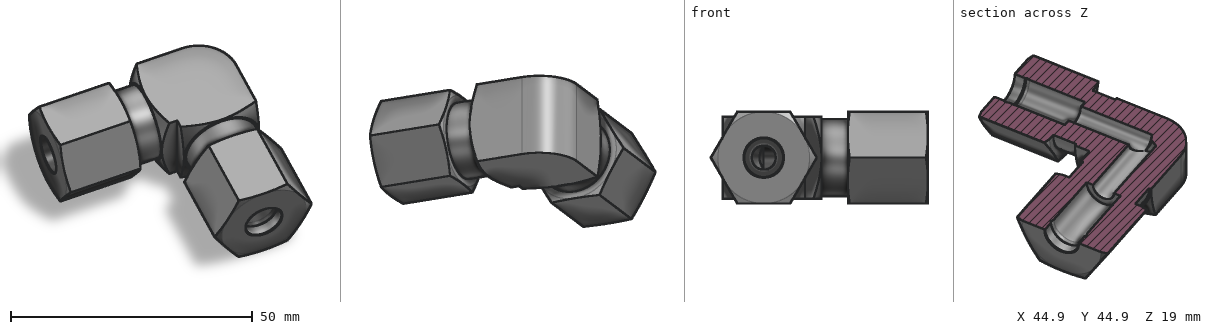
import cadquery as cq
import math

overall_size = 44.85
nut_flats = 19.0
nut_corners = nut_flats / math.cos(math.radians(30))
nut_length = 16.5
nut_chamfer_angle = 15

body_width = 17.0
arm_length = 12.0
arm_face_diameter = 16.8
arm_chamfer_angle = 25
neck_diameter = 16.0

flow_diameter = 5.0
drill_point_angle = 120
tube_diameter = 8.05
socket_floor = 17.0
groove_diameter = 8.5
groove_depth = 2.5
groove_length = 1.1
mouth_diameter = 8.35
mouth_chamfer = 0.15

nut_end = overall_size - nut_corners / 2
nut_start = nut_end - nut_length
body_radius = body_width / 2


def revolved(profile):
    """Turn (radius, height) points about Z."""
    outline = cq.Workplane("XZ").polyline(profile).close()
    return outline.revolve(360, (0, 0, 0), (0, 1, 0))


def body_arm():
    """Square arm along +Z whose end corners are turned off by a cone."""
    face_radius = arm_face_diameter / 2
    rim_radius = body_width
    drop = (rim_radius - face_radius) * math.tan(math.radians(arm_chamfer_angle))
    block = (
        cq.Workplane("XY")
        .workplane(offset=-body_radius)
        .rect(body_width, body_width)
        .extrude(body_radius + arm_length)
    )
    envelope = revolved([
        (0, -body_radius),
        (rim_radius, -body_radius),
        (rim_radius, arm_length - drop),
        (face_radius, arm_length),
        (0, arm_length),
    ])
    return block.intersect(envelope)


def neck():
    """Round neck along +Z between the body and the nut."""
    return cq.Workplane("XY").circle(neck_diameter / 2).extrude(nut_start)


def nut():
    """Hexagon nut along +Z, chamfered by cones at both ends, corners on the X axis."""
    face_radius = nut_flats / 2
    corner_radius = nut_corners / 2
    drop = (corner_radius - face_radius) * math.tan(math.radians(nut_chamfer_angle))
    prism = (
        cq.Workplane("XY")
        .workplane(offset=nut_start)
        .polygon(6, nut_corners)
        .extrude(nut_length)
    )
    envelope = revolved([
        (0, nut_start),
        (face_radius, nut_start),
        (corner_radius, nut_start + drop),
        (corner_radius, nut_end - drop),
        (face_radius, nut_end),
        (0, nut_end),
    ])
    return prism.intersect(envelope)


def bore():
    """Stepped bore along +Z with a tapered inner groove and a drill point past the crossing."""
    flow_radius = flow_diameter / 2
    tube_radius = tube_diameter / 2
    point_depth = flow_radius / math.tan(math.radians(drill_point_angle / 2))
    groove_radius = groove_diameter / 2
    groove_height = groove_radius - tube_radius
    groove_end = nut_end - groove_depth
    groove_start = groove_end - groove_length
    return revolved([
        (0, -point_depth),
        (flow_radius, 0),
        (flow_radius, socket_floor),
        (tube_radius, socket_floor),
        (tube_radius, groove_start),
        (groove_radius, groove_end - groove_height),
        (tube_radius, groove_end),
        (tube_radius, nut_end - mouth_chamfer),
        (mouth_diameter / 2, nut_end),
        (0, nut_end),
    ])


def toward_front(shape):
    """Turn a shape from +Z to -Y."""
    return shape.rotate((0, 0, 0), (1, 0, 0), 90)


def toward_right(shape):
    """Turn a shape from +Z to +X, keeping its X axis level."""
    return toward_front(shape).rotate((0, 0, 0), (0, 0, 1), 90)


def heel_envelope():
    """Block around the body with its outer vertical edge rounded about the crossing."""
    block_length = body_radius + arm_length
    return (
        cq.Workplane("XY")
        .box(block_length, block_length, body_width, centered=(False, False, True))
        .translate((-body_radius, -arm_length, 0))
        .edges("|Z and <X and >Y")
        .fillet(body_radius)
    )


body = toward_front(body_arm()).union(toward_right(body_arm())).intersect(heel_envelope())

result = body
for turn in (toward_front, toward_right):
    result = result.union(turn(neck())).union(turn(nut()))
for turn in (toward_front, toward_right):
    result = result.cut(turn(bore()))